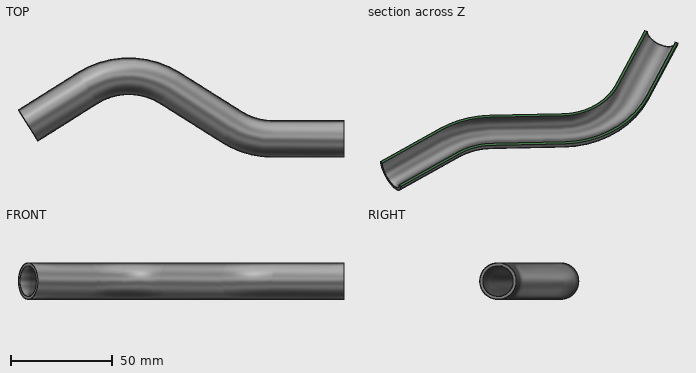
import cadquery as cq
import math

outer_diameter = 18.0
inner_diameter = 15.0

plus_x_end_length = 35.0
middle_length = 36.0
angled_end_length = 34.6

bend_radius = 38.0
first_bend_angle = 32.2
second_bend_angle = 2 * first_bend_angle

start_heading = 180.0
quarter_turn = 90.0


def advance(point, heading, length):
    """Return the point reached by moving from a point along a heading."""
    angle = math.radians(heading)
    x = point[0] + length * math.cos(angle)
    y = point[1] + length * math.sin(angle)
    return (x, y)


def add_straight(path, point, heading, length):
    """Extend the path by a straight run; return the path and its new end."""
    end = advance(point, heading, length)
    return path.lineTo(*end), end


def add_bend(path, point, heading, turn):
    """Extend the path by a tangent arc; a positive turn is anticlockwise."""
    to_centre = heading + math.copysign(quarter_turn, turn)
    from_centre = heading - math.copysign(quarter_turn, turn)
    centre = advance(point, to_centre, bend_radius)
    middle = advance(centre, from_centre + turn / 2, bend_radius)
    end = advance(centre, from_centre + turn, bend_radius)
    return path.threePointArc(middle, end), end, heading + turn


def make_centreline():
    """Draw the tube axis from the +X end, which sits at the origin."""
    point = (0.0, 0.0)
    heading = start_heading
    path = cq.Workplane("XY").moveTo(*point)
    path, point = add_straight(path, point, heading, plus_x_end_length)
    path, point, heading = add_bend(path, point, heading, -first_bend_angle)
    path, point = add_straight(path, point, heading, middle_length)
    path, point, heading = add_bend(path, point, heading, second_bend_angle)
    path, _ = add_straight(path, point, heading, angled_end_length)
    return path


def make_tube():
    """Sweep the ring section along the centreline."""
    ring = cq.Workplane("YZ").circle(outer_diameter / 2).circle(inner_diameter / 2)
    return ring.sweep(make_centreline())


result = make_tube()